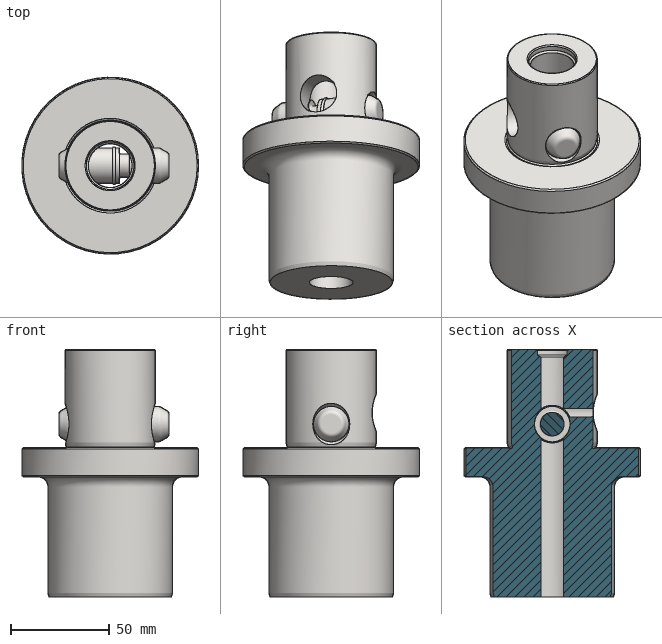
import cadquery as cq
import math

total_height = 126
shank_height = 50.0
flange_thickness = 14.9
flange_top = total_height - shank_height
flange_bottom = flange_top - flange_thickness

flange_radius = 45.0
body_radius = 31.8
shank_diameter = 46.0
shank_radius = shank_diameter / 2
flange_fillet = 5.0
flange_chamfer = 0.8
shank_chamfer = 0.5
lead_in_height = 2.0
lead_in_depth = 0.6

relief_height = 2.4
relief_inner_radius = 22.4
relief_outer_radius = 24.1
relief_round = 0.8
relief_depth = 0.4
relief_floor = flange_top - relief_depth

bore_radius = 11.1
counterbore_radius = 12.1
counterbore_depth = 3.0
counterbore_floor = total_height - counterbore_depth
seat_height = 0.9
mouth_chamfer = 0.6

side_hole_radius = 9.7
side_hole_z = flange_top + 17.8

pin_axis_z = flange_top + 12.0
pin_diameter = 18.0
pin_radius = pin_diameter / 2
pin_left_end = -26.1
pin_right_end = 30.0
tip_face_radius = 4.9
tip_round = 2.3
shoulder_round = 2.5
cone_angle = math.radians(30)

waist_start = 4.7
waist_end = 9.8
waist_diameter = 12.0
waist_radius = waist_diameter / 2
waist_fillet = 0.8

countersink_radius = 10.6
cross_hole_half_length = shank_radius + 1.3

ring_center = 2.0
ring_section_radius = 0.8
ring_outer_radius = 9.6
groove_floor_radius = ring_outer_radius - 2 * ring_section_radius


def turn_about_z(profile):
    return profile.close().revolve(360, (0, 0, 0), (0, 1, 0))


def turn_about_pin_axis(profile):
    return profile.close().revolve(360, (0, 0, 0), (1, 0, 0))


def pin_plane():
    """XZ plane with its origin on the pin axis."""
    return cq.Workplane("XZ", origin=(0, 0, pin_axis_z))


def make_housing_blank():
    """Body, flange and shank with the relief groove between flange and shank."""
    return turn_about_z(
        cq.Workplane("XZ")
        .moveTo(0, 0)
        .lineTo(body_radius - lead_in_depth, 0)
        .lineTo(body_radius, lead_in_height)
        .lineTo(body_radius, flange_bottom - flange_fillet)
        .radiusArc((body_radius + flange_fillet, flange_bottom), flange_fillet)
        .lineTo(flange_radius - flange_chamfer, flange_bottom)
        .lineTo(flange_radius, flange_bottom + flange_chamfer)
        .lineTo(flange_radius, flange_top - flange_chamfer)
        .lineTo(flange_radius - flange_chamfer, flange_top)
        .lineTo(relief_outer_radius, flange_top)
        .lineTo(relief_inner_radius + relief_round, relief_floor)
        .radiusArc((relief_inner_radius, relief_floor + relief_round), relief_round)
        .lineTo(shank_radius, flange_top + relief_height)
        .lineTo(shank_radius, total_height - shank_chamfer)
        .lineTo(shank_radius - shank_chamfer, total_height)
        .lineTo(0, total_height)
    )


def make_bore():
    """Through bore with a conical seat, a counterbore and a chamfered mouth."""
    return turn_about_z(
        cq.Workplane("XZ")
        .moveTo(0, 0)
        .lineTo(bore_radius, 0)
        .lineTo(bore_radius, counterbore_floor - seat_height)
        .lineTo(counterbore_radius, counterbore_floor)
        .lineTo(counterbore_radius, total_height - mouth_chamfer)
        .lineTo(counterbore_radius + mouth_chamfer, total_height)
        .lineTo(0, total_height)
    )


def make_cross_hole():
    """Guide hole for the pin; each countersink reaches its full radius at the shank surface."""
    cone_slope = math.tan(cone_angle)
    cone_start = shank_radius - (countersink_radius - pin_radius) / cone_slope
    end_radius = pin_radius + (cross_hole_half_length - cone_start) * cone_slope
    return turn_about_pin_axis(
        pin_plane()
        .moveTo(-cross_hole_half_length, 0)
        .lineTo(-cross_hole_half_length, end_radius)
        .lineTo(-cone_start, pin_radius)
        .lineTo(cone_start, pin_radius)
        .lineTo(cross_hole_half_length, end_radius)
        .lineTo(cross_hole_half_length, 0)
    )


def make_side_hole():
    """Plain hole from the bore out through the +Y wall."""
    return cq.Workplane("XZ", origin=(0, 0, side_hole_z)).circle(side_hole_radius).extrude(-shank_radius)


def make_housing():
    return make_housing_blank().cut(make_bore()).cut(make_cross_hole()).cut(make_side_hole())


def make_pin():
    """Pin with a rounded cone at each end, an O-ring groove and a waist."""
    cone_tip = tip_round * (1 - math.sin(cone_angle))
    cone_tip_radius = tip_face_radius + tip_round * math.cos(cone_angle)
    cone_base_radius = pin_radius - shoulder_round * (1 - math.cos(cone_angle))
    cone_base = cone_tip + (cone_base_radius - cone_tip_radius) / math.tan(cone_angle)
    shoulder_end = cone_base + shoulder_round * math.sin(cone_angle)

    groove_left = ring_center - ring_section_radius
    groove_right = ring_center + ring_section_radius
    return turn_about_pin_axis(
        pin_plane()
        .moveTo(pin_left_end, 0)
        .lineTo(pin_left_end, tip_face_radius)
        .radiusArc((pin_left_end + cone_tip, cone_tip_radius), tip_round)
        .lineTo(pin_left_end + cone_base, cone_base_radius)
        .radiusArc((pin_left_end + shoulder_end, pin_radius), shoulder_round)
        .lineTo(groove_left, pin_radius)
        .lineTo(groove_left, groove_floor_radius)
        .lineTo(groove_right, groove_floor_radius)
        .lineTo(groove_right, pin_radius)
        .lineTo(waist_start, pin_radius)
        .lineTo(waist_start, waist_radius + waist_fillet)
        .radiusArc((waist_start + waist_fillet, waist_radius), -waist_fillet)
        .lineTo(waist_end - waist_fillet, waist_radius)
        .radiusArc((waist_end, waist_radius + waist_fillet), -waist_fillet)
        .lineTo(waist_end, pin_radius)
        .lineTo(pin_right_end - shoulder_end, pin_radius)
        .radiusArc((pin_right_end - cone_base, cone_base_radius), shoulder_round)
        .lineTo(pin_right_end - cone_tip, cone_tip_radius)
        .radiusArc((pin_right_end, tip_face_radius), tip_round)
        .lineTo(pin_right_end, 0)
    )


def make_ring():
    """O-ring of round section seated on the floor of the pin groove."""
    return cq.Solid.makeTorus(
        ring_outer_radius - ring_section_radius,
        ring_section_radius,
        cq.Vector(ring_center, 0, pin_axis_z),
        cq.Vector(1, 0, 0),
    )


housing = make_housing()
clamping_pin = make_pin()
o_ring = make_ring()

result = cq.Compound.makeCompound([housing.solids().val(), clamping_pin.val(), o_ring])